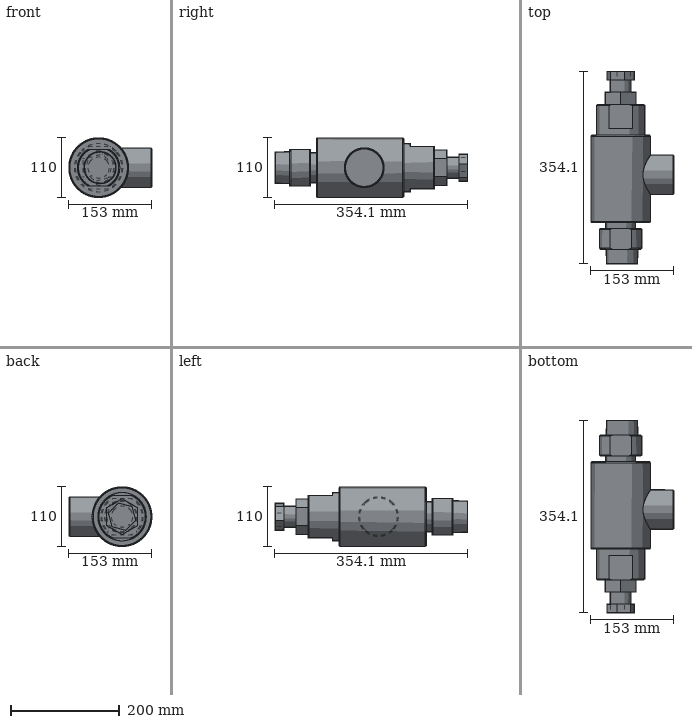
import cadquery as cq
import math


NOSE_END = -164.0
NUT_BOTTOM = -137.0
NUT_TOP = -98.5
BODY_BOTTOM = -88.0
BODY_TOP = 72.7
BONNET_TOP = 129.3
LOCK_NUT_TOP = 151.8
HEAD_BOTTOM = 173.8
HEAD_TOP = 190.08

BODY_RADIUS = 55.0
BRANCH_RADIUS = 36.5
BRANCH_REACH = 98.0
EDGE_CHAMFER = 2.0

BONNET_RADIUS = 44.5
BONNET_ACROSS_FLATS = 78.0
BONNET_FLAT_LENGTH = 44.5

INLET_NECK_RADIUS = 27.75
NUT_RADIUS = 39.0
NUT_ACROSS_FLATS = 67.5
NOSE_OFFSET_X = 2.6
NOSE_END_RADIUS = 28.75
NOSE_TAPER_PER_SIDE = 1 / 32

LOCK_NUT_ACROSS_FLATS = 57.0
LOCK_NUT_CORNER_ANGLE = 90.0
SHANK_RADIUS = 19.5
HEAD_ACROSS_FLATS = 45.0
HEAD_CORNER_ANGLE = 15.0

CUT_CLEARANCE = 10.0

HEX_SIDES = 6


def section_plane(y):
    """Plane across the main axis at station y, with local axes +X, +Z and normal -Y."""
    return cq.Workplane("XZ", origin=(0, y, 0))


def cylinder(y_low, y_high, radius):
    return section_plane(y_high).circle(radius).extrude(y_high - y_low)


def hexagon(y_low, y_high, across_flats, corner_angle):
    """Hexagonal prism with one corner at corner_angle degrees from +X towards +Z."""
    corner_radius = across_flats / math.sqrt(3)
    corners = []
    for i in range(HEX_SIDES):
        angle = math.radians(corner_angle + i * 360 / HEX_SIDES)
        corners.append((corner_radius * math.cos(angle), corner_radius * math.sin(angle)))
    return section_plane(y_high).polyline(corners).close().extrude(y_high - y_low)


def cut_to_flats(solid, y_low, y_high, radius, across_flats):
    """Cut two flats facing +Z and -Z into a round solid between two stations."""
    length = y_high - y_low
    width = 2 * radius + CUT_CLEARANCE
    stock = section_plane(y_high).rect(width, width).extrude(length)
    kept = section_plane(y_high).rect(width, across_flats).extrude(length)
    return solid.cut(stock.cut(kept))


def make_body():
    body = cylinder(BODY_BOTTOM, BODY_TOP, BODY_RADIUS).edges().chamfer(EDGE_CHAMFER)
    branch = cq.Workplane("YZ").circle(BRANCH_RADIUS).extrude(BRANCH_REACH)
    return body.union(branch.faces(">X").edges().chamfer(EDGE_CHAMFER))


def make_bonnet():
    bonnet = cylinder(BODY_TOP, BONNET_TOP, BONNET_RADIUS)
    bonnet = bonnet.faces(">Y").edges().chamfer(EDGE_CHAMFER)
    flat_bottom = BONNET_TOP - BONNET_FLAT_LENGTH
    return cut_to_flats(bonnet, flat_bottom, BONNET_TOP, BONNET_RADIUS, BONNET_ACROSS_FLATS)


def make_inlet():
    neck = cylinder(NUT_TOP, BODY_BOTTOM, INLET_NECK_RADIUS)
    nut = cylinder(NUT_BOTTOM, NUT_TOP, NUT_RADIUS).edges().chamfer(EDGE_CHAMFER)
    nut = cut_to_flats(nut, NUT_BOTTOM, NUT_TOP, NUT_RADIUS, NUT_ACROSS_FLATS)
    return neck.union(nut).union(make_nose())


def make_nose():
    length = NUT_BOTTOM - NOSE_END
    root_radius = NOSE_END_RADIUS + length * NOSE_TAPER_PER_SIDE
    nose = cq.Solid.makeCone(
        NOSE_END_RADIUS,
        root_radius,
        length,
        pnt=cq.Vector(NOSE_OFFSET_X, NOSE_END, 0),
        dir=cq.Vector(0, 1, 0),
    )
    return cq.Workplane(obj=nose)


def make_adjusting_screw():
    lock_nut = hexagon(BONNET_TOP, LOCK_NUT_TOP, LOCK_NUT_ACROSS_FLATS, LOCK_NUT_CORNER_ANGLE)
    shank = cylinder(LOCK_NUT_TOP, HEAD_BOTTOM, SHANK_RADIUS)
    head = hexagon(HEAD_BOTTOM, HEAD_TOP, HEAD_ACROSS_FLATS, HEAD_CORNER_ANGLE)
    return lock_nut.union(shank).union(head)


result = make_body().union(make_bonnet()).union(make_inlet()).union(make_adjusting_screw())